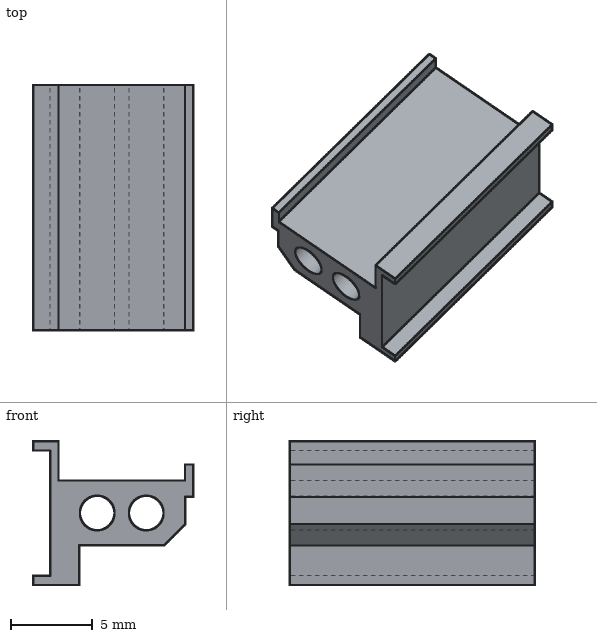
import cadquery as cq

width = 9.8
length = 15.0
height = 8.8

flange_depth = 1.04
flange_thickness = 0.58
wall_right = 1.56
foot_right = 2.82

body_bottom = 2.43
body_top = 6.4
body_right = 9.32
lip_left = 9.27
lip_bottom = 5.4
lip_top = 7.38
chamfer_width = 1.3
chamfer_height = 1.3

hole_diameter = 2.1
hole_height = 4.41
hole_centers_x = (3.92, 6.92)


def extruded_profile():
    """Constant cross-section in XZ, extruded along +Y."""
    outline = [
        (0, 0),
        (foot_right, 0),
        (foot_right, body_bottom),
        (body_right - chamfer_width, body_bottom),
        (body_right, body_bottom + chamfer_height),
        (body_right, lip_bottom),
        (width, lip_bottom),
        (width, lip_top),
        (lip_left, lip_top),
        (lip_left, body_top),
        (wall_right, body_top),
        (wall_right, height),
        (0, height),
        (0, height - flange_thickness),
        (flange_depth, height - flange_thickness),
        (flange_depth, flange_thickness),
        (0, flange_thickness),
    ]
    return cq.Workplane("XZ").polyline(outline).close().extrude(-length)


def long_holes():
    """Round holes running the full length of the body."""
    centers = [(x, hole_height) for x in hole_centers_x]
    return cq.Workplane("XZ").pushPoints(centers).circle(hole_diameter / 2).extrude(-length)


result = extruded_profile().cut(long_holes())